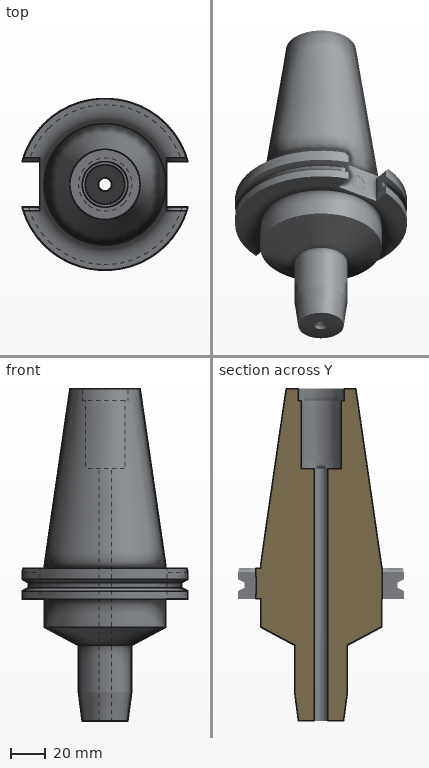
import cadquery as cq

total_height = 190.5
nose_height = 16.5
shank_top = 43.5
collar_bottom = 54.0
flange_bottom = 70.0
flange_top = 87.6
gauge_plane = 88.8

nose_diameter = 26.1
shank_diameter = 30.5
collar_diameter = 69.7
flange_diameter = 98.5
taper_top_diameter = 40.2

groove_center = 78.0
groove_mouth_width = 6.9
groove_root_width = 3.0
groove_depth = 3.5

slot_width = 25.7
slot_chamfer = 2.3
left_slot_floor = 37.5
right_slot_floor = 35.2

recess_diameter = 10.0
recess_depth = 0.2

counterbore_diameter = 26.1
counterbore_depth = 6.7
stud_bore_diameter = 22.7
stud_bore_depth = 45.7
through_hole_diameter = 7.5


def make_body():
    """Revolve the half outline of the holder, including the gripper groove."""
    flange_radius = flange_diameter / 2
    root_radius = flange_radius - groove_depth
    collar_radius = collar_diameter / 2
    outline = [
        (0, 0),
        (nose_diameter / 2, 0),
        (shank_diameter / 2, nose_height),
        (shank_diameter / 2, shank_top),
        (collar_radius, collar_bottom),
        (collar_radius, flange_bottom),
        (flange_radius, flange_bottom),
        (flange_radius, groove_center - groove_mouth_width / 2),
        (root_radius, groove_center - groove_root_width / 2),
        (root_radius, groove_center + groove_root_width / 2),
        (flange_radius, groove_center + groove_mouth_width / 2),
        (flange_radius, flange_top),
        (collar_radius, flange_top),
        (collar_radius, gauge_plane),
        (taper_top_diameter / 2, total_height),
        (0, total_height),
    ]
    return cq.Workplane("XZ").polyline(outline).close().revolve(360, (0, 0, 0), (0, 1, 0))


def make_slot(floor, side):
    """Drive slot with chamfered top edges; side is -1 for -X and +1 for +X."""
    half_width = slot_width / 2
    mouth_half_width = half_width + slot_chamfer
    section = [
        (-half_width, flange_bottom),
        (half_width, flange_bottom),
        (half_width, flange_top - slot_chamfer),
        (mouth_half_width, flange_top),
        (-mouth_half_width, flange_top),
        (-half_width, flange_top - slot_chamfer),
    ]
    length = flange_diameter / 2 - floor
    plane = cq.Workplane("YZ", origin=(side * floor, 0, 0))
    return plane.polyline(section).close().extrude(side * length)


def make_recess():
    """Shallow disk reaching inward from the left slot floor."""
    plane = cq.Workplane("YZ", origin=(-left_slot_floor, 0, groove_center))
    return plane.circle(recess_diameter / 2).extrude(recess_depth)


def make_axial_bore(diameter, depth):
    """Cylinder running down from the small end of the taper."""
    return cq.Workplane("XY", origin=(0, 0, total_height)).circle(diameter / 2).extrude(-depth)


result = make_body()
result = result.cut(make_slot(left_slot_floor, -1))
result = result.cut(make_slot(right_slot_floor, 1))
result = result.cut(make_recess())
for diameter, depth in [
    (counterbore_diameter, counterbore_depth),
    (stud_bore_diameter, stud_bore_depth),
    (through_hole_diameter, total_height),
]:
    result = result.cut(make_axial_bore(diameter, depth))